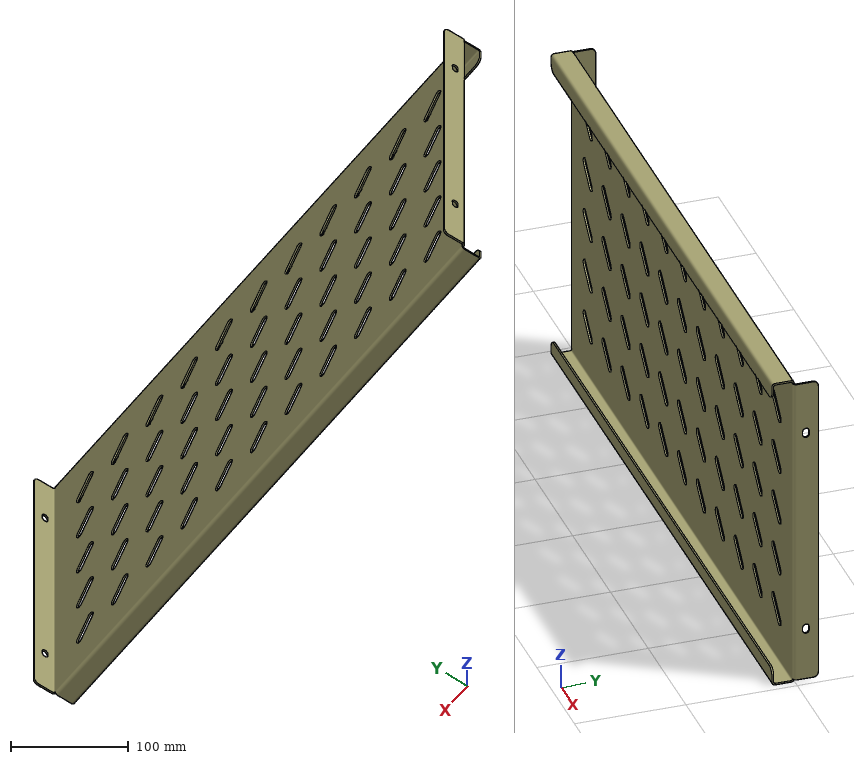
import cadquery as cq

length = 592.0
depth = 41.0
height = 297.0

thickness = 1.65
outer_bend = 3.1
inner_bend = outer_bend - thickness

channel_depth = 20.0
lip_height = 16.0
lip_corner_radius = 7.0
channel_length = length - 2 * outer_bend

panel_front = channel_depth - thickness
side_height = height - 2 * outer_bend
side_corner_radius = 5.0

slot_columns = 11
slot_rows = 5
slot_row_length = 500.0
slot_pitch = slot_row_length / (slot_columns - 1)
slot_length = 30.0
slot_width = 8.0
slot_angle = -45

mount_spacing = 193.0
mount_edge_distance = 11.0
mount_length = 9.0
mount_width = 6.0
mount_angle = 90


def make_channel():
    """Panel with both long edges folded forward and returned as lips."""
    outside = (
        cq.Workplane("XY")
        .box(channel_length, channel_depth, height, centered=(True, False, True))
        .edges("|X")
        .fillet(outer_bend)
    )
    inside = (
        cq.Workplane("XY", origin=(0, thickness, 0))
        .box(
            channel_length,
            channel_depth - 2 * thickness,
            height - 2 * thickness,
            centered=(True, False, True),
        )
        .edges("|X")
        .fillet(inner_bend)
    )
    opening_height = height - 2 * lip_height
    opening = cq.Workplane("XY").box(
        channel_length, panel_front, opening_height, centered=(True, False, True)
    )
    channel = outside.cut(inside).cut(opening)
    lip_corners = cq.selectors.BoxSelector(
        (-length, -thickness, -opening_height / 2 - thickness),
        (length, 2 * thickness, opening_height / 2 + thickness),
    )
    return channel.edges("|Y").edges(lip_corners).fillet(lip_corner_radius)


def make_side_flange():
    """Flange at the +X end: a quarter bend followed by a flat, rounded leaf."""
    bend_x = length / 2 - outer_bend
    bend_y = panel_front + outer_bend
    bend = (
        cq.Workplane("XY", origin=(bend_x, bend_y, 0))
        .circle(outer_bend)
        .circle(inner_bend)
        .extrude(side_height / 2, both=True)
    )
    quarter = cq.Workplane("XY", origin=(bend_x, panel_front, 0)).box(
        outer_bend, outer_bend, side_height, centered=(False, False, True)
    )
    leaf = (
        cq.Workplane("XY", origin=(length / 2 - thickness, bend_y, 0))
        .box(thickness, depth - bend_y, side_height, centered=(False, False, True))
        .edges("|X and >Y")
        .fillet(side_corner_radius)
    )
    return bend.intersect(quarter).union(leaf)


def make_panel_slots():
    """Cutters for the grid of diagonal slots, passing through the panel."""
    return (
        cq.Workplane("XZ", origin=(0, channel_depth + thickness, 0))
        .rarray(slot_pitch, slot_pitch, slot_columns, slot_rows)
        .slot2D(slot_length, slot_width, slot_angle)
        .extrude(3 * thickness)
    )


def make_mount_slots():
    """Cutters for one upper and one lower slot, passing through both side flanges."""
    return (
        cq.Workplane("YZ", origin=(0, depth - mount_edge_distance, 0))
        .rarray(6, mount_spacing, 1, 2)
        .slot2D(mount_length, mount_width, mount_angle)
        .extrude(length, both=True)
    )


side_flange = make_side_flange()
result = (
    make_channel()
    .union(side_flange)
    .union(side_flange.mirror("YZ"))
    .cut(make_panel_slots())
    .cut(make_mount_slots())
)